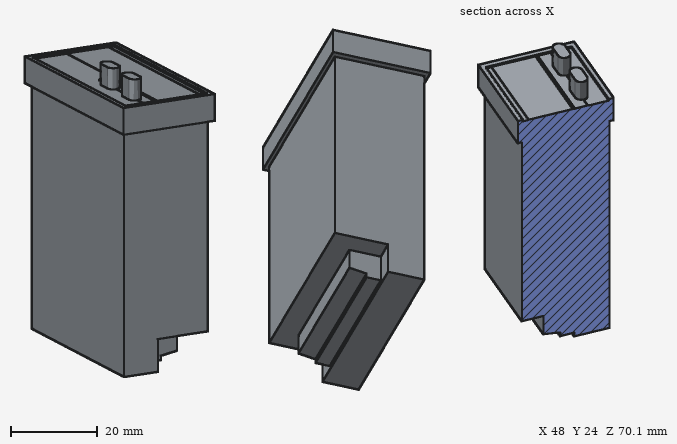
import cadquery as cq

total_height = 70.1
bezel_width = 48.0
bezel_depth = 24.0
bezel_height = 6.45
button_height = 4.7
bezel_top = total_height - button_height
bezel_bottom = bezel_top - bezel_height

housing_side_inset = 1.55
housing_end_inset = 1.0
housing_width = bezel_width - 2 * housing_side_inset
housing_depth = bezel_depth - 2 * housing_end_inset
housing_front = -housing_depth / 2
housing_back = housing_depth / 2
foot_depth = 8.9
notch_height = 7.9
notch_front = housing_front + foot_depth

terminal_side_inset = 5.0
terminal_width = housing_width - 2 * terminal_side_inset
terminal_back_inset = 5.4
terminal_lip_depth = 3.5
terminal_back = housing_back - terminal_back_inset
terminal_step = notch_front + terminal_lip_depth
terminal_bottom = 1.05
terminal_step_bottom = 2.1
terminal_back_bottom = 2.7

recess_end_inset = 1.25
recess_width = housing_width
recess_depth = bezel_depth - 2 * recess_end_inset
recess_drop = 0.4

button_length = 6.0
button_width = 3.0
button_y = -5.5
button_centres = (5.5, 15.8)

window_back = 9.3
window_front = -1.75
window_rise = 0.1
strip_back = -2.25
strip_front = button_y
strip_tip_x = -3.1
strip_rise = 0.1


def make_housing():
    """Housing with a full-width notch at the back of its lower end."""
    profile = [
        (housing_front, 0),
        (notch_front, 0),
        (notch_front, notch_height),
        (housing_back, notch_height),
        (housing_back, bezel_bottom),
        (housing_front, bezel_bottom),
    ]
    return cq.Workplane("YZ").polyline(profile).close().extrude(housing_width / 2, both=True)


def make_terminal_block():
    """Block under the notch, with a sloped and stepped lower side."""
    profile = [
        (notch_front, notch_height),
        (notch_front, terminal_bottom),
        (terminal_step, terminal_bottom),
        (terminal_step, terminal_step_bottom),
        (terminal_back, terminal_back_bottom),
        (terminal_back, notch_height),
    ]
    return cq.Workplane("YZ").polyline(profile).close().extrude(terminal_width / 2, both=True)


def make_bezel():
    """Rectangular bezel with a shallow recess in its top."""
    bezel = (
        cq.Workplane("XY")
        .workplane(offset=bezel_bottom)
        .rect(bezel_width, bezel_depth)
        .extrude(bezel_height)
    )
    recess = (
        cq.Workplane("XY")
        .workplane(offset=bezel_top - recess_drop)
        .rect(recess_width, recess_depth)
        .extrude(recess_drop)
    )
    return bezel.cut(recess)


def make_panels():
    """Window plate and pointed strip, both reaching the right side of the recess."""
    floor = cq.Workplane("XY").workplane(offset=bezel_top - recess_drop)
    right = recess_width / 2
    window = (
        floor.center(0, (window_back + window_front) / 2)
        .rect(recess_width, window_back - window_front)
        .extrude(window_rise)
    )
    strip_outline = [
        (strip_tip_x, strip_back),
        (strip_tip_x + strip_back - strip_front, strip_front),
        (right, strip_front),
        (right, strip_back),
    ]
    strip = floor.polyline(strip_outline).close().extrude(strip_rise)
    return window.union(strip)


def make_buttons():
    """Round-ended buttons standing on the recess floor."""
    return (
        cq.Workplane("XY")
        .workplane(offset=bezel_top - recess_drop)
        .pushPoints([(x, button_y) for x in button_centres])
        .slot2D(button_length, button_width)
        .extrude(button_height + recess_drop)
    )


result = (
    make_housing()
    .union(make_terminal_block())
    .union(make_bezel())
    .union(make_panels())
    .union(make_buttons())
)